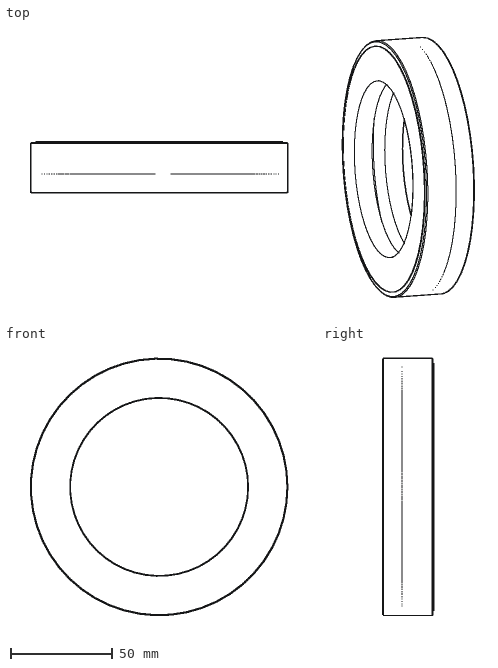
import cadquery as cq

width = 25.4
outer_diameter = 127.0
bore_diameter = 87.4

end_step = 0.4
back_rim_diameter = 126.0
back_chamfer_length = 0.5

front_washer_diameter = 126.0
back_washer_diameter = 121.7
front_washer_thickness = 9.5
back_washer_thickness = 9.3
bore_chamfer = 0.4

front_y = -width / 2
back_y = width / 2
seat_y = front_y + front_washer_thickness


def revolve_about_y(profile):
    """Turn a closed (radius, y) outline once around the Y axis."""
    return cq.Workplane("XY").polyline(profile).close().revolve(360, (0, 0, 0), (0, 1, 0))


def make_sleeve():
    """Outer sleeve with a wide front seat and a narrower back bore."""
    outer_radius = outer_diameter / 2
    seat_radius = front_washer_diameter / 2
    back_bore_radius = back_washer_diameter / 2
    sleeve_front = front_y + end_step
    sleeve_back = back_y - end_step
    return revolve_about_y([
        (seat_radius, sleeve_front),
        (outer_radius, sleeve_front),
        (outer_radius, sleeve_back - back_chamfer_length),
        (back_rim_diameter / 2, sleeve_back),
        (back_bore_radius, sleeve_back),
        (back_bore_radius, seat_y),
        (seat_radius, seat_y),
    ])


def make_front_washer():
    """Front washer with a chamfered bore entrance."""
    bore_radius = bore_diameter / 2
    rim_radius = front_washer_diameter / 2
    return revolve_about_y([
        (bore_radius + bore_chamfer, front_y),
        (rim_radius, front_y),
        (rim_radius, seat_y),
        (bore_radius, seat_y),
        (bore_radius, front_y + bore_chamfer),
    ])


def make_back_washer():
    """Back washer, separated from the front one by an open gap."""
    bore_radius = bore_diameter / 2
    rim_radius = back_washer_diameter / 2
    inner_face_y = back_y - back_washer_thickness
    return revolve_about_y([
        (bore_radius, inner_face_y),
        (rim_radius, inner_face_y),
        (rim_radius, back_y),
        (bore_radius, back_y),
    ])


sleeve = make_sleeve()
front_washer = make_front_washer()
back_washer = make_back_washer()

result = cq.Compound.makeCompound([sleeve.val(), front_washer.val(), back_washer.val()])